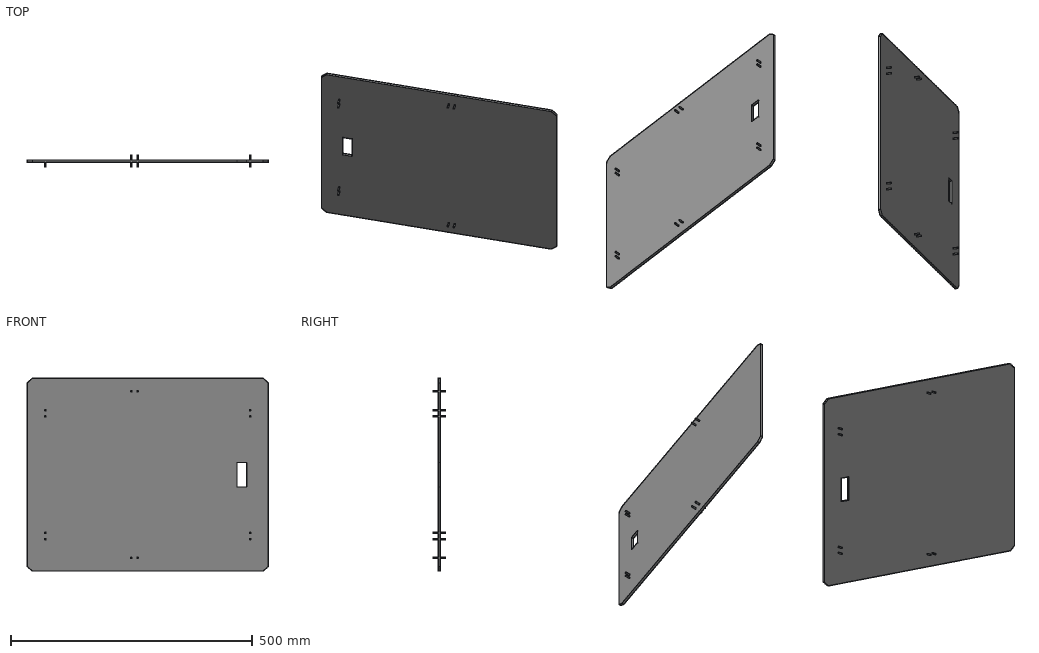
import cadquery as cq

plate_length = 500.0
plate_height = 400.0
plate_thickness = 5.0
corner_cut_x = 11.0
corner_cut_z = 10.0

window_width = 20.0
window_height = 50.0
window_center_x = 195.0

pin_diameter = 3.2
pin_projection = 10.0
pin_pitch = 12.7
side_pair_x = 212.0
side_pair_z = 127.0
edge_pair_x = -27.5
edge_pair_z = 172.5

front_face_y = -plate_thickness / 2
back_face_y = plate_thickness / 2
front_pin_end_y = front_face_y - pin_projection
back_pin_end_y = back_face_y + pin_projection


def make_plate():
    """Rectangular plate with its four corners cut off."""
    half_length = plate_length / 2
    half_height = plate_height / 2
    flat_x = half_length - corner_cut_x
    flat_z = half_height - corner_cut_z
    outline = [
        (-flat_x, -half_height),
        (flat_x, -half_height),
        (half_length, -flat_z),
        (half_length, flat_z),
        (flat_x, half_height),
        (-flat_x, half_height),
        (-half_length, flat_z),
        (-half_length, -flat_z),
    ]
    return cq.Workplane("XZ").polyline(outline).close().extrude(plate_thickness / 2, both=True)


def make_window():
    """Cutting block for the window."""
    block = cq.Workplane("XY").box(window_width, plate_thickness, window_height)
    return block.translate((window_center_x, 0, 0))


def make_pins(centers, start_y, end_y):
    """Round pins along Y between two depths, at the given (x, z) centers."""
    base = cq.Workplane("XZ", origin=(0, end_y, 0)).pushPoints(centers)
    return base.circle(pin_diameter / 2).extrude(end_y - start_y)


def side_pair(x, z):
    """Centers of two pins, one above the other."""
    return [(x, z - pin_pitch / 2), (x, z + pin_pitch / 2)]


def edge_pair(x, z):
    """Centers of two pins, side by side."""
    return [(x - pin_pitch / 2, z), (x + pin_pitch / 2, z)]


front_only_pins = []
through_pins = []
for side in (-1, 1):
    front_only_pins += side_pair(-side_pair_x, side * side_pair_z)
    through_pins += side_pair(side_pair_x, side * side_pair_z)
    through_pins += edge_pair(edge_pair_x, side * edge_pair_z)

result = (
    make_plate()
    .cut(make_window())
    .union(make_pins(front_only_pins, front_pin_end_y, back_face_y))
    .union(make_pins(through_pins, front_pin_end_y, back_pin_end_y))
)